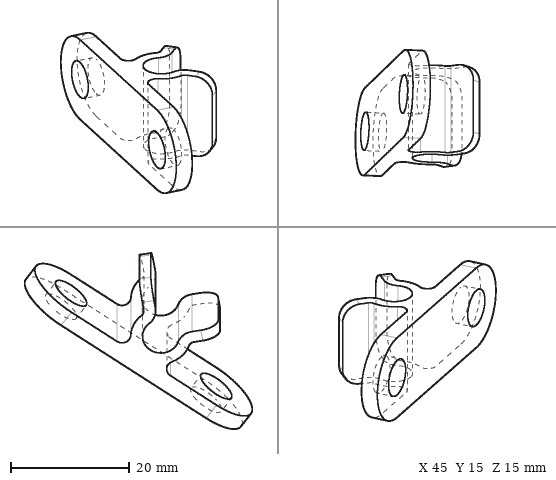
import cadquery as cq
import math

plate_length = 45.0
plate_width = 15.0
plate_thickness = 3.0
hole_spacing = 30.0
hole_diameter = 6.5

total_depth = 15.0
seat_radius = 3.1
wall = 2.0
seat_center_y = 8.05
root_radius = 1.5
neck_radius = 1.0
neck_angle = 15.5
arm_angle = 45.0
tip_corner_radius = 3.0

seat_outer_radius = seat_radius + wall


def polar(center, radius, degrees):
    angle = math.radians(degrees)
    return (center[0] + radius * math.cos(angle), center[1] + radius * math.sin(angle))


def make_plate():
    plate = (
        cq.Workplane("XZ")
        .slot2D(plate_length, plate_width)
        .extrude(-plate_thickness)
    )
    holes = (
        cq.Workplane("XZ")
        .pushPoints([(-hole_spacing / 2, 0), (hole_spacing / 2, 0)])
        .circle(hole_diameter / 2)
        .extrude(-plate_thickness)
    )
    return plate.cut(holes)


def make_clip_half():
    """The +X half of the clip, still solid below the seat center."""
    seat = (0, seat_center_y)

    root_y = plate_thickness + root_radius
    root_x = math.sqrt((seat_outer_radius + root_radius) ** 2 - (seat_center_y - root_y) ** 2)
    root = (root_x, root_y)
    root_end_angle = math.degrees(math.atan2(root_y - seat_center_y, root_x))
    root_seat_angle = root_end_angle + 180
    root_mid_angle = (root_seat_angle + 270) / 2

    neck = polar(seat, seat_outer_radius + neck_radius, neck_angle)
    neck_inner_radius = neck_radius + wall
    neck_start_angle = 180 + neck_angle
    neck_end_angle = 90 + arm_angle
    neck_mid_angle = (neck_start_angle + neck_end_angle) / 2

    arm_inner_start = polar(neck, neck_inner_radius, neck_end_angle)
    arm_length = (total_depth - arm_inner_start[1]) / math.sin(math.radians(arm_angle))
    tip_inner = polar(arm_inner_start, arm_length, arm_angle)
    tip_outer = polar(tip_inner, wall, arm_angle - 90)

    half = (
        cq.Workplane("XY")
        .moveTo(0, 0)
        .lineTo(root_x, 0)
        .lineTo(root_x, plate_thickness)
        .threePointArc(
            polar(root, root_radius, root_mid_angle),
            polar(root, root_radius, root_seat_angle),
        )
        .threePointArc(
            polar(seat, seat_outer_radius, (root_end_angle + neck_angle) / 2),
            polar(seat, seat_outer_radius, neck_angle),
        )
        .threePointArc(
            polar(neck, neck_radius, neck_mid_angle),
            polar(neck, neck_radius, neck_end_angle),
        )
        .lineTo(*tip_outer)
        .lineTo(*tip_inner)
        .lineTo(*arm_inner_start)
        .threePointArc(
            polar(neck, neck_inner_radius, neck_mid_angle),
            polar(neck, neck_inner_radius, neck_start_angle),
        )
        .lineTo(*seat)
        .close()
        .extrude(plate_width / 2, both=True)
    )

    tip_direction = cq.Vector(tip_outer[0] - tip_inner[0], tip_outer[1] - tip_inner[1], 0)
    return half.edges(cq.selectors.ParallelDirSelector(tip_direction)).fillet(tip_corner_radius)


clip_half = make_clip_half()
other_half = clip_half.rotate((0, 0, 0), (0, 1, 0), 180)
seat_bore = (
    cq.Workplane("XY")
    .center(0, seat_center_y)
    .circle(seat_radius)
    .extrude(plate_width / 2, both=True)
)
result = make_plate().union(clip_half).union(other_half).cut(seat_bore)